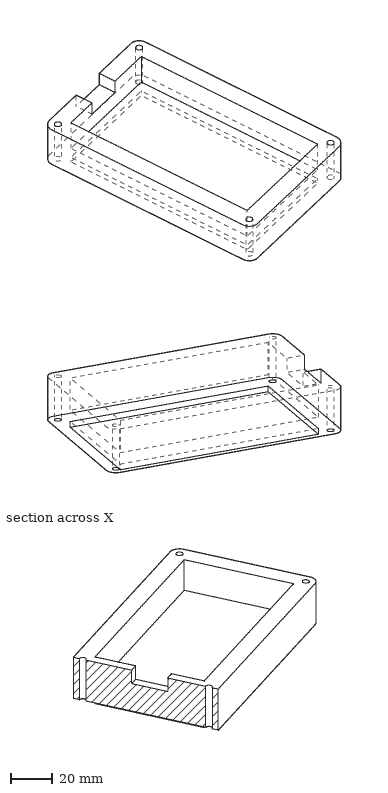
import cadquery as cq

body_length = 124.78
body_width = 77.15
total_height = 26.0
plinth_height = 3.0
body_height = total_height - plinth_height
corner_radius = 5.0

wall = 9.5
pocket_length = body_length - 2 * wall
pocket_width = body_width - 2 * wall
floor_thickness = 9.0
pocket_depth = total_height - floor_thickness

hole_diameter = 3.4

notch_width = 19.0
notch_offset = -2.1
notch_depth = 7.5


def make_body():
    """Block with rounded vertical corners, standing on a smaller plinth."""
    block = (
        cq.Workplane("XY")
        .workplane(offset=plinth_height)
        .rect(body_length, body_width)
        .extrude(body_height)
        .edges("|Z")
        .fillet(corner_radius)
    )
    plinth = cq.Workplane("XY").rect(pocket_length, pocket_width).extrude(plinth_height)
    return block.union(plinth)


def make_pocket():
    """Rectangular cavity down to the floor."""
    return (
        cq.Workplane("XY")
        .workplane(offset=floor_thickness)
        .rect(pocket_length, pocket_width)
        .extrude(pocket_depth)
    )


def make_screw_holes():
    """One through hole at each corner of the block."""
    return (
        cq.Workplane("XY")
        .rect(body_length - 2 * corner_radius, body_width - 2 * corner_radius, forConstruction=True)
        .vertices()
        .circle(hole_diameter / 2)
        .extrude(total_height)
    )


def make_notch():
    """Rectangular opening in the top of the -X wall."""
    return (
        cq.Workplane("XY")
        .box(wall, notch_width, notch_depth, centered=(False, True, False))
        .translate((-body_length / 2, notch_offset, total_height - notch_depth))
    )


result = make_body().cut(make_pocket()).cut(make_screw_holes()).cut(make_notch())